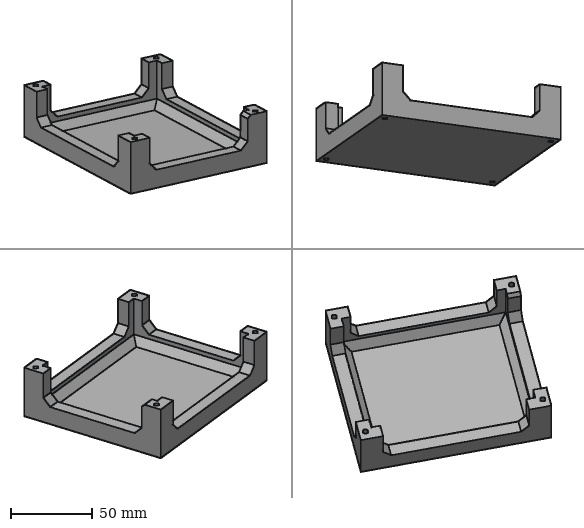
import cadquery as cq

length_x = 120.0
width_y = 100.0
height_z = 34.0

wall_x = 8.4
wall_y = 8.0
wall_height = 12.0
floor_thickness = 4.0
bevel = 5.0

post_side = 14.0
screw_hole_diameter = 3.2
screw_hole_inset_x = 4.2
screw_hole_inset_y = 5.8
post_edge_chamfer = 2.2

cavity_x = length_x - 2 * wall_x
cavity_y = width_y - 2 * wall_y


def make_cavity():
    """Rectangular pocket whose lower edge slopes in to the floor at 45 degrees."""
    bevel_top = floor_thickness + bevel
    sloped_part = (
        cq.Workplane("XY")
        .workplane(offset=floor_thickness)
        .rect(cavity_x - 2 * bevel, cavity_y - 2 * bevel)
        .workplane(offset=bevel)
        .rect(cavity_x, cavity_y)
        .loft(ruled=True)
    )
    straight_part = (
        cq.Workplane("XY")
        .workplane(offset=bevel_top)
        .rect(cavity_x, cavity_y)
        .extrude(height_z - bevel_top)
    )
    return sloped_part.union(straight_part)


def make_wall_opening(plane, side_length, depth):
    """Opening between two posts, cut right through along the normal of the plane."""
    half_top = side_length / 2 - post_side
    half_bottom = half_top - bevel
    return (
        cq.Workplane(plane)
        .polyline([
            (-half_bottom, wall_height),
            (half_bottom, wall_height),
            (half_top, wall_height + bevel),
            (half_top, height_z),
            (-half_top, height_z),
            (-half_top, wall_height + bevel),
        ])
        .close()
        .extrude(depth / 2, both=True)
    )


def make_screw_holes():
    """One vertical through hole in each corner post."""
    spacing_x = length_x - 2 * screw_hole_inset_x
    spacing_y = width_y - 2 * screw_hole_inset_y
    return (
        cq.Workplane("XY")
        .rect(spacing_x, spacing_y, forConstruction=True)
        .vertices()
        .circle(screw_hole_diameter / 2)
        .extrude(height_z)
    )


def make_post_edge_cut():
    """Wedge that chamfers the top edge of the +X +Y post on its -Y face."""
    post_face_y = width_y / 2 - post_side
    return (
        cq.Workplane("YZ")
        .workplane(offset=length_x / 2 - post_side)
        .moveTo(post_face_y, height_z)
        .lineTo(post_face_y + post_edge_chamfer, height_z)
        .lineTo(post_face_y, height_z - post_edge_chamfer)
        .close()
        .extrude(post_side)
    )


result = (
    cq.Workplane("XY")
    .box(length_x, width_y, height_z, centered=(True, True, False))
    .cut(make_cavity())
    .cut(make_wall_opening("XZ", length_x, width_y))
    .cut(make_wall_opening("YZ", width_y, length_x))
    .cut(make_screw_holes())
    .cut(make_post_edge_cut())
)